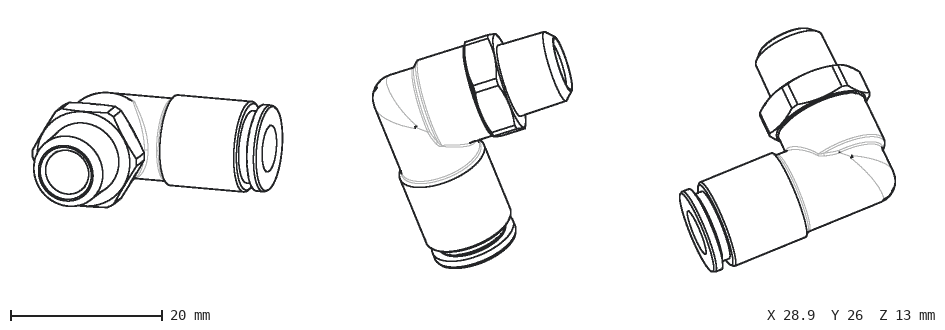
import cadquery as cq
import math


thread_chamfer_end = 1.05
hex_start = 7.47
hex_end = 11.52
collar_start = 11.72
collar_chamfer_start = 18.35
collar_top = 19.05

thread_tip_diameter = 7.58
thread_front_diameter = 9.6
thread_back_diameter = 9.85
collar_diameter = 12.5
collar_groove_diameter = 12.15
elbow_diameter = 11.0
elbow_corner_radius = 2.7
rounding_half_height = 5.47
sleeve_joint_radius = 0.38
collar_joint_radius = 0.38
edge_margin = 0.3

hex_across_flats = 13.0
hex_across_corners = 14.48
hex_face_diameter = 12.88
hex_chamfer_length = 0.4

sleeve_start = 7.95
sleeve_full = 8.45
sleeve_chamfer_start = 18.73
sleeve_end = 19.02
neck_end = 20.12
flange_start = 20.47
flange_chamfer_start = 21.4
socket_end = 21.7
sleeve_diameter = 12.0
sleeve_end_diameter = 11.45
neck_diameter = 9.6
neck_groove_diameter = 9.25
flange_diameter = 11.5
flange_end_diameter = 11.17

overall_length = 26.0
socket_y = overall_length - sleeve_diameter / 2

stem_bore_diameter = 6.0
stem_mouth_diameter = 7.12
stem_mouth_depth = 0.58
passage_diameter = 5.0
tube_bore_diameter = 6.15


def stem_turning(stations):
    """Solid of revolution about Y from (diameter, y) stations."""
    outline = [(0, stations[0][1])]
    outline += [(diameter / 2, y) for diameter, y in stations]
    outline.append((0, stations[-1][1]))
    return cq.Workplane("XY").polyline(outline).close().revolve(360, (0, 0, 0), (0, 1, 0))


def socket_turning(stations):
    """Solid of revolution about the socket axis from (diameter, x) stations."""
    outline = [(stations[0][1], 0)]
    outline += [(x, diameter / 2) for diameter, x in stations]
    outline.append((stations[-1][1], 0))
    turned = cq.Workplane("XY").polyline(outline).close().revolve(360, (0, 0, 0), (1, 0, 0))
    return turned.translate((0, socket_y, 0))


def elbow():
    """Two equal cylinders mitred at the axes' crossing, with a rounded outer corner."""
    radius = elbow_diameter / 2
    upright = (
        cq.Workplane("XZ", origin=(0, hex_end, 0))
        .circle(radius)
        .extrude(hex_end - socket_y - elbow_diameter)
    )
    level = (
        cq.Workplane(cq.Plane(origin=(-elbow_diameter, socket_y, 0), xDir=(0, -1, 0), normal=(1, 0, 0)))
        .circle(radius)
        .extrude(elbow_diameter + sleeve_full)
    )
    reach = 2 * socket_y
    below_mitre = (
        cq.Workplane("XY", origin=(0, socket_y, -elbow_diameter))
        .polyline([(-reach, reach), (-reach, -reach), (reach, -reach)])
        .close()
        .extrude(2 * elbow_diameter)
    )
    mitred = upright.intersect(below_mitre).union(level.cut(below_mitre))
    slab = cq.Workplane("XY").box(4 * sleeve_full, 4 * socket_y, 2 * rounding_half_height)
    sharp = mitred.intersect(slab)
    mitre_edge = cq.selectors.BoxSelector(
        (-radius, socket_y + radius / 2, -edge_margin), (-radius / 2, socket_y + radius, edge_margin)
    )
    rounded = sharp.edges(mitre_edge).fillet(elbow_corner_radius)
    return mitred.cut(sharp.cut(rounded))


def hexagon():
    """Hexagon with its corners on X, turned corners and chamfered end faces."""
    prism = (
        cq.Workplane("XZ", origin=(0, hex_start, 0))
        .polygon(6, hex_across_flats / math.cos(math.pi / 6))
        .extrude(hex_start - hex_end)
    )
    envelope = stem_turning([
        (hex_face_diameter, hex_start),
        (hex_across_corners, hex_start + hex_chamfer_length),
        (hex_across_corners, hex_end - hex_chamfer_length),
        (hex_face_diameter, hex_end),
    ])
    return prism.intersect(envelope)


thread = stem_turning([
    (thread_tip_diameter, 0),
    (thread_front_diameter, thread_chamfer_end),
    (thread_back_diameter, hex_start),
])

collar = stem_turning([
    (collar_groove_diameter, hex_end),
    (collar_groove_diameter, collar_start),
    (collar_diameter, collar_start),
    (collar_diameter, collar_chamfer_start),
    (elbow_diameter, collar_top),
])

socket = socket_turning([
    (elbow_diameter, sleeve_start),
    (sleeve_diameter, sleeve_full),
    (sleeve_diameter, sleeve_chamfer_start),
    (sleeve_end_diameter, sleeve_end),
    (neck_diameter, sleeve_end),
    (neck_diameter, neck_end),
    (neck_groove_diameter, neck_end),
    (neck_groove_diameter, flange_start),
    (flange_diameter, flange_start),
    (flange_diameter, flange_chamfer_start),
    (flange_end_diameter, socket_end),
])

stem_bore = stem_turning([
    (stem_mouth_diameter, 0),
    (stem_bore_diameter, stem_mouth_depth),
    (stem_bore_diameter, socket_y),
])

socket_bore = socket_turning([
    (passage_diameter, -stem_bore_diameter / 2),
    (passage_diameter, sleeve_full),
    (tube_bore_diameter, sleeve_full),
    (tube_bore_diameter, socket_end),
])

joined = elbow().union(collar).union(socket)
sleeve_joint = cq.selectors.BoxSelector(
    (sleeve_start - edge_margin, 0, -elbow_diameter),
    (sleeve_start + edge_margin, 2 * socket_y, elbow_diameter),
)
collar_joint = cq.selectors.BoxSelector(
    (-elbow_diameter, socket_y - elbow_diameter / 2 - edge_margin, -elbow_diameter),
    (collar_diameter / 2 + edge_margin, collar_top + edge_margin, elbow_diameter),
)
joined = joined.edges(sleeve_joint).edges("%CIRCLE").fillet(sleeve_joint_radius)
joined = joined.edges(collar_joint).fillet(collar_joint_radius)

body = joined.union(hexagon()).union(thread)
result = body.cut(stem_bore).cut(socket_bore)